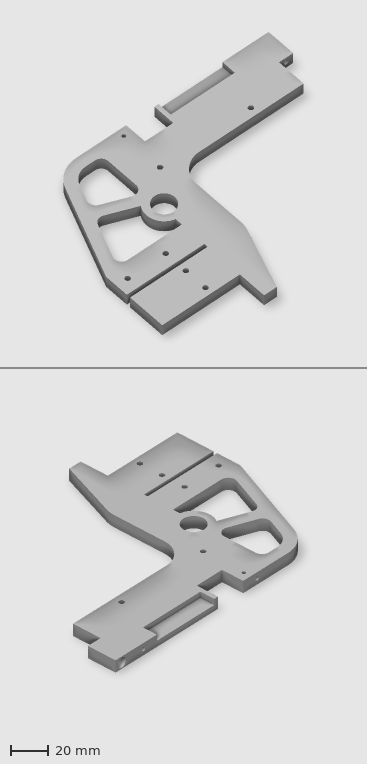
import cadquery as cq
import math

thickness = 8.0
length_x = 139.71
length_y = 180.0
mid_z = thickness / 2

column_width = 40.0
tab_width = 20.0
tab_length = 10.0
inner_corner_radius = 16.0

arm_top_y = 80.0
arm_bottom_y = 55.0
arm_tip_y = 64.0
arm_slope = math.radians(20.0)
arm_bend_radius = 20.0

notch_depth = 15.3
notch_bottom_y = 79.0
notch_top_y = 99.0

leg_right_x = 120.0
slot_left_x = 91.2
slot_width = 2.6

lower_edge_start_x = 74.4
lower_edge_slope = math.radians(22.0)
lower_corner_radius = 20.0

bore_x = 55.5
bore_y = 57.5
bore_diameter = 15.0
boss_radius = 12.5
rim_width = 8.0
web_width = 8.0
web_top_x = 43.0
window_right_x = 72.8
window_radius = 5.0

recess_width = 10.0
recess_depth = thickness / 2
recess_bottom_y = 101.9
recess_top_y = 147.3

screw_diameter = 3.5
screw_centers = [
    (34.5, 137.4),
    (34.5, 73.0),
    (82.7, 35.0),
    (82.7, 8.0),
    (99.0, 35.0),
    (115.0, 35.0),
]
pin_diameter = 2.5
pin_center = (5.0, 73.0)

edge_hole_diameter = 2.6
edge_hole_depth = 10.0
drill_point_angle = math.radians(118.0)
edge_hole_ys = (158.0, 68.0)
cross_hole_y = 175.0
cross_hole_diameter = 3.2
counterbore_diameter = 6.5
counterbore_depth = tab_width / 2


def lower_line_y(x, inset=0.0):
    """Height at x of the sloping lower edge, moved inward by inset."""
    drop = (lower_edge_start_x - x) * math.tan(lower_edge_slope)
    return drop + inset / math.cos(lower_edge_slope)


def web_foot(side_top_x):
    """Where a web side, square to the lower edge, meets the inner rim line."""
    slope = math.tan(lower_edge_slope)
    fall = arm_bottom_y - lower_line_y(side_top_x, rim_width)
    drop = fall / (1 + slope**2)
    return side_top_x - drop * slope, arm_bottom_y - drop


def rounded_prism(corners):
    """Extrude a closed outline of (x, y, corner radius) through the thickness."""
    outline = None
    for index, (x, y, radius) in enumerate(corners):
        corner = cq.Vector(x, y)
        before = cq.Vector(*corners[index - 1][:2])
        after = cq.Vector(*corners[(index + 1) % len(corners)][:2])
        to_before = (before - corner).normalized()
        to_after = (after - corner).normalized()
        half_angle = to_before.getAngle(to_after) / 2
        setback = radius / math.tan(half_angle)
        start = corner + to_before * setback
        if outline is None:
            outline = cq.Workplane("XY").moveTo(start.x, start.y)
        else:
            outline = outline.lineTo(start.x, start.y)
        if radius > 0:
            bisector = (to_before + to_after).normalized()
            middle = corner + bisector * (radius / math.sin(half_angle) - radius)
            end = corner + to_after * setback
            outline = outline.threePointArc((middle.x, middle.y), (end.x, end.y))
    return outline.close().extrude(thickness)


def plate():
    arm_bend_x = length_x - (arm_top_y - arm_tip_y) / math.tan(arm_slope)
    slot_right_x = slot_left_x + slot_width
    tab_bottom_y = length_y - tab_length
    return rounded_prism([
        (0, length_y, 0),
        (tab_width, length_y, 0),
        (tab_width, tab_bottom_y, 0),
        (column_width, tab_bottom_y, 0),
        (column_width, arm_top_y, inner_corner_radius),
        (arm_bend_x, arm_top_y, arm_bend_radius),
        (length_x, arm_tip_y, 0),
        (length_x, arm_bottom_y, 0),
        (leg_right_x, arm_bottom_y, 0),
        (leg_right_x, 0, 0),
        (slot_right_x, 0, 0),
        (slot_right_x, arm_bottom_y, 0),
        (slot_left_x, arm_bottom_y, 0),
        (slot_left_x, 0, 0),
        (lower_edge_start_x, 0, 0),
        (0, lower_line_y(0), lower_corner_radius),
        (0, notch_bottom_y, 0),
        (notch_depth, notch_bottom_y, 0),
        (notch_depth, notch_top_y, 0),
        (0, notch_top_y, 0),
    ])


def left_window():
    foot_x, foot_y = web_foot(web_top_x)
    return rounded_prism([
        (rim_width, arm_bottom_y, window_radius),
        (web_top_x, arm_bottom_y, window_radius),
        (foot_x, foot_y, window_radius),
        (rim_width, lower_line_y(rim_width, rim_width), lower_corner_radius - rim_width),
    ])


def right_window():
    side_top_x = web_top_x + web_width / math.cos(lower_edge_slope)
    foot_x, foot_y = web_foot(side_top_x)
    window = rounded_prism([
        (side_top_x, arm_bottom_y, 0),
        (window_right_x, arm_bottom_y, 0),
        (window_right_x, lower_line_y(window_right_x, rim_width), window_radius),
        (foot_x, foot_y, window_radius),
    ])
    boss = cq.Workplane("XY").center(bore_x, bore_y).circle(boss_radius).extrude(thickness)
    return window.cut(boss)


def recess():
    size_y = recess_top_y - recess_bottom_y
    return (
        cq.Workplane("XY")
        .box(recess_width, size_y, recess_depth, centered=False)
        .translate((0, recess_bottom_y, thickness - recess_depth))
    )


def vertical_hole(center, diameter):
    return cq.Workplane("XY").center(*center).circle(diameter / 2).extrude(thickness)


def edge_hole(y, diameter, depth):
    """Round hole running from the left edge in the +X direction at mid thickness."""
    return cq.Workplane("YZ").center(y, mid_z).circle(diameter / 2).extrude(depth)


def drilled_edge_hole(y):
    """Blind edge hole that ends in a conical drill point."""
    radius = edge_hole_diameter / 2
    point_length = radius / math.tan(drill_point_angle / 2)
    point = cq.Solid.makeCone(
        radius,
        0,
        point_length,
        pnt=cq.Vector(edge_hole_depth, y, mid_z),
        dir=cq.Vector(1, 0, 0),
    )
    return edge_hole(y, edge_hole_diameter, edge_hole_depth).union(cq.Workplane(point))


result = plate().cut(left_window()).cut(right_window()).cut(recess())

result = result.cut(vertical_hole((bore_x, bore_y), bore_diameter))
result = result.cut(vertical_hole(pin_center, pin_diameter))
for screw_center in screw_centers:
    result = result.cut(vertical_hole(screw_center, screw_diameter))

for edge_hole_y in edge_hole_ys:
    result = result.cut(drilled_edge_hole(edge_hole_y))
result = result.cut(edge_hole(cross_hole_y, cross_hole_diameter, tab_width))
result = result.cut(edge_hole(cross_hole_y, counterbore_diameter, counterbore_depth))